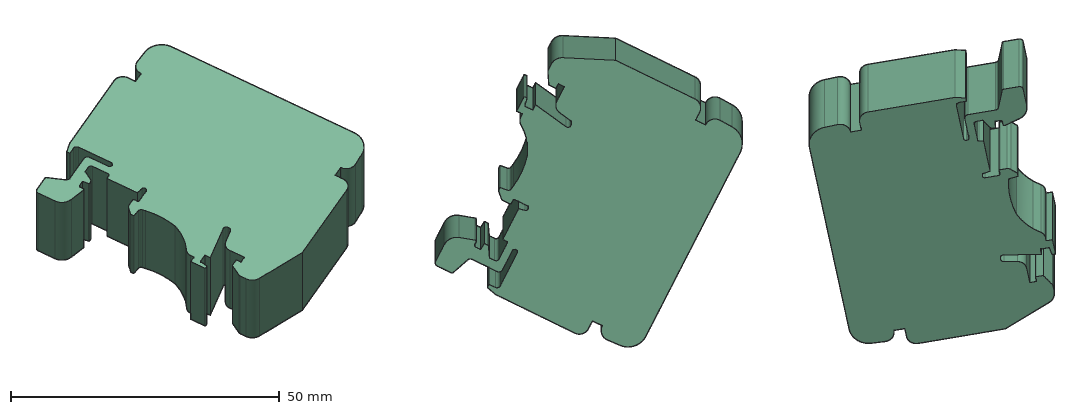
import cadquery as cq
import math

width = 50.0
height = 41.4
thickness = 18.5

notch_depth = 3.55
notch_top = 33.25
notch_bottom = 31.2
head_top_inset = 1.85
head_bottom_inset = 1.45
head_top_radius = 3.75
head_bottom_radius = 1.95
shoulder_radius = 1.9
side_bottom = 12.8

lip_left = 0.5
lip_right = 1.2
lip_bottom = 10.85
slot_top = 12.85
slot_bottom = 11.85
slot_end = 9.35
slot_end_radius = 0.45
arm_left = 4.05
arm_right = 5.75
arm_underside = 10.35
rail_groove_left = 6.45
rail_groove_bottom = 5.1
rail_groove_top = 6.45
foot_tip = 7.7

seat_left = 10.05
seat_right = 16.6
seat_level = 9.3
relief_top = 10.9
relief_right = 17.8
hook_left = 16.65
hook_top = 7.65
hook_bottom = 4.4

saddle_start = (20.0, 6.5)
saddle_crown = (23.0, 6.7)
saddle_join = (26.5, 6.2)
saddle_flank = (28.5, 5.1)
saddle_end = (30.1, 3.75)

finger_left = 33.05
finger_shoulder = 1.85
finger_bottom = 0.65
finger_neck = 34.6
finger_tip = 36.2
finger_step = 3.25
finger_step_right = 35.75
finger_groove_floor = 1.55
clip_level = 6.5
clip_right = 41.2
clip_lip_left = 40.2
clip_lip_top = 5.25
clip_lip_bottom = 3.75
right_foot_bottom = 2.4
right_foot_radius = 2.3


def toward(start, end, distance):
    """Point at a distance from start on the line to end."""
    ratio = distance / math.dist(start, end)
    return tuple(a + (b - a) * ratio for a, b in zip(start, end))


def add_rounded_path(path, corners):
    """Continue path through (x, y, radius) corners; the last one ends the path."""
    previous = corners[0][:2]
    for corner, following in zip(corners[1:], corners[2:]):
        point = corner[:2]
        radius = corner[2]
        after = following[:2]
        if radius == 0:
            path = path.lineTo(*point)
        else:
            angle_in = math.atan2(previous[1] - point[1], previous[0] - point[0])
            angle_out = math.atan2(after[1] - point[1], after[0] - point[0])
            half_angle = math.acos(math.cos(angle_in - angle_out)) / 2
            tangent_length = radius / math.tan(half_angle)
            tangent_in = toward(point, previous, tangent_length)
            tangent_out = toward(point, after, tangent_length)
            chord_middle = tuple((a + b) / 2 for a, b in zip(tangent_in, tangent_out))
            middle = toward(point, chord_middle, radius / math.sin(half_angle) - radius)
            path = path.lineTo(*tangent_in).threePointArc(middle, tangent_out)
        previous = point
    return path.lineTo(*corners[-1][:2])


left_head = [
    (0, notch_bottom, shoulder_radius),
    (notch_depth, notch_bottom, 0),
    (notch_depth, notch_top, 0),
    (head_bottom_inset, notch_top, head_bottom_radius),
    (head_top_inset, height, head_top_radius),
]
right_head = [(width - x, y, radius) for x, y, radius in left_head]

lip_and_slot = [
    (0, side_bottom, 0),
    (lip_left, lip_bottom, 0),
    (lip_right, lip_bottom, 0),
    (lip_right, slot_top, 0.7),
    (slot_end, slot_top, slot_end_radius),
    (slot_end, slot_bottom, slot_end_radius),
    (arm_left, slot_bottom, 0.8),
]
left_foot = [
    (arm_left, 5.4, 0.75),
    (0, 3.8, 0.25),
    (0, 0, 0.65),
    (6.15, 0, 2.6),
    (foot_tip, rail_groove_bottom, 0.25),
    (rail_groove_left, rail_groove_bottom, 0.35),
    (rail_groove_left, rail_groove_top, 0),
    (7.8, 6.6, 0),
    (7.8, 7.4, 0.25),
    (arm_right, 8.65, 0),
    (arm_right, arm_underside, 0.6),
]
seat_and_hook = [
    (9.95, arm_underside, 0.25),
    (seat_left, seat_level, 0),
    (seat_right, seat_level, 0),
    (16.9, relief_top, 0.425),
    (relief_right, relief_top, 0.4),
    (relief_right, hook_top, 0.25),
    (hook_left, hook_top, 0.2),
    (hook_left, 5.75, 1.0),
    (18.0, hook_bottom, 0.15),
    (18.65, hook_bottom, 0.15),
    (18.85, 6.3, 0.65),
    (*saddle_start, 0),
]
finger = [
    (*saddle_end, 0),
    (31.6, finger_shoulder, 1.5),
    (finger_left, finger_shoulder, 0),
    (finger_left, finger_bottom, 0),
    (finger_tip, finger_bottom, 0.2),
    (finger_tip, 1.3, 0.2),
    (finger_neck, finger_groove_floor, 0.15),
    (finger_neck, finger_step, 0),
    (finger_step_right, finger_step, 0),
]
right_foot = [
    (34.4, relief_top, 0.6),
    (35.85, relief_top, 0.6),
    (36.65, clip_level, 1.7),
    (clip_right, clip_level, 0),
    (clip_right, clip_lip_top, 0),
    (clip_lip_left, clip_lip_top, 0.15),
    (clip_lip_left, clip_lip_bottom, 0),
    (42.5, right_foot_bottom, 0.5),
    (45.45, right_foot_bottom, right_foot_radius),
    (width, side_bottom, 0),
]

profile = cq.Workplane("XY").moveTo(0, side_bottom)
profile = add_rounded_path(profile, lip_and_slot + left_foot + seat_and_hook)
profile = profile.threePointArc(saddle_crown, saddle_join)
profile = profile.threePointArc(saddle_flank, saddle_end)
profile = add_rounded_path(
    profile, finger + right_foot + right_head + left_head[::-1] + lip_and_slot[:1]
)

result = profile.close().extrude(thickness)